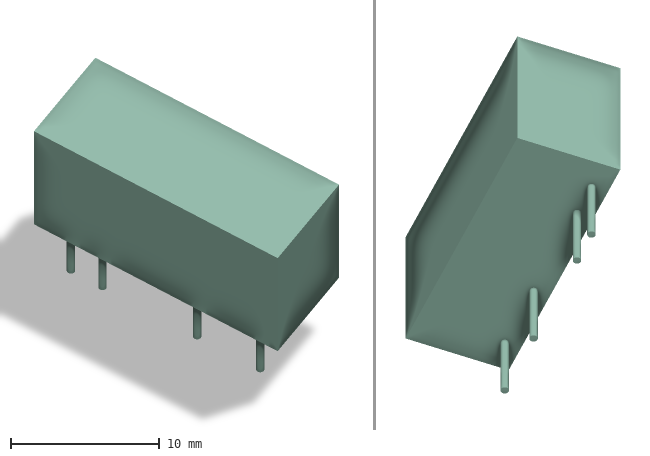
import cadquery as cq


housing_length = 19.61
housing_width = 7.5
overall_height = 14.98
pin_length = 4.78
housing_height = overall_height - pin_length

pin_diameter = 0.57
pin_row_length = 15.24
pin_positions = 7
fitted_positions = [0, 1, 4, 6]
pin_pitch = pin_row_length / (pin_positions - 1)
pin_front_inset = 1.2
pin_row_y = -housing_width / 2 + pin_front_inset


def make_housing():
    """Plain rectangular block standing on the XY plane."""
    return cq.Workplane("XY").box(
        housing_length, housing_width, housing_height, centered=(True, True, False)
    )


def make_pin(position):
    """Round pin hanging from the housing's bottom face at one row position."""
    pin_x = -pin_row_length / 2 + position * pin_pitch
    return (
        cq.Workplane("XY")
        .center(pin_x, pin_row_y)
        .circle(pin_diameter / 2)
        .extrude(-pin_length)
    )


housing = make_housing()
pins = [make_pin(position) for position in fitted_positions]

result = cq.Compound.makeCompound([housing.val(), *[pin.val() for pin in pins]])